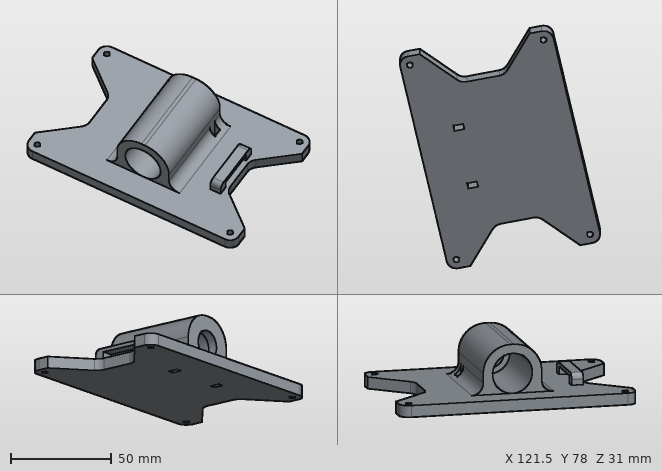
import cadquery as cq

PLATE_LENGTH = 121.5
PLATE_WIDTH = 78.0
PLATE_THICKNESS = 6.0
CORNER_RADIUS = 5.0
MOUNT_HOLE_DIAMETER = 3.0
MOUNT_HOLE_INSET = 5.0

NOTCH_DEPTH = 20.0
NOTCH_MOUTH_WIDTH = 56.0
NOTCH_FLOOR_WIDTH = 22.0
NOTCH_RADIUS = 6.0

HOUSING_WIDTH = 30.0
HOUSING_LENGTH = 50.0
HOUSING_TOP = 31.0
CROWN_RADIUS = 14.0
FLARE_RADIUS = 6.0

BORE_DIAMETER = 20.4
LIP_DIAMETER = 14.4
LIP_LENGTH = 5.0
BORE_HEIGHT = PLATE_THICKNESS + BORE_DIAMETER / 2

SLOT_WIDTH = 3.0
SLOT_LENGTH = 5.0
SLOT_END_GAP = 5.0

LOOP_WIDTH = 6.0
LOOP_LENGTH = 30.0
LOOP_HEIGHT = 6.0
LOOP_CENTER_X = 36.0
LOOP_OUTER_RADIUS = 3.0
LOOP_LEG = 5.0
LOOP_BEAM = 2.0


def make_notch(side):
    """Trapezoidal notch in the end of the plate at side * X, with rounded floor corners."""
    mouth_x = side * PLATE_LENGTH / 2
    floor_x = side * (PLATE_LENGTH / 2 - NOTCH_DEPTH)
    mouth_y = NOTCH_MOUTH_WIDTH / 2
    floor_y = NOTCH_FLOOR_WIDTH / 2
    outline = [(mouth_x, -mouth_y), (floor_x, -floor_y), (floor_x, floor_y), (mouth_x, mouth_y)]
    notch = cq.Workplane("XY").polyline(outline).close().extrude(PLATE_THICKNESS)
    floor_side = "<X" if side > 0 else ">X"
    return notch.faces(floor_side).edges("|Z").fillet(NOTCH_RADIUS)


def make_plate():
    """Flat plate with rounded corners, end notches and four mounting holes."""
    plate = cq.Workplane("XY").box(
        PLATE_LENGTH, PLATE_WIDTH, PLATE_THICKNESS, centered=(True, True, False)
    )
    plate = plate.edges("|Z").fillet(CORNER_RADIUS)
    for side in (-1, 1):
        plate = plate.cut(make_notch(side))
    hole_spacing_x = PLATE_LENGTH - 2 * MOUNT_HOLE_INSET
    hole_spacing_y = PLATE_WIDTH - 2 * MOUNT_HOLE_INSET
    holes = (
        cq.Workplane("XY")
        .rect(hole_spacing_x, hole_spacing_y, forConstruction=True)
        .vertices()
        .circle(MOUNT_HOLE_DIAMETER / 2)
        .extrude(PLATE_THICKNESS)
    )
    return plate.cut(holes)


def make_housing():
    """Round-topped block along Y whose walls flare out onto the plate."""
    wall_x = HOUSING_WIDTH / 2
    foot_x = wall_x + FLARE_RADIUS
    flare_top = PLATE_THICKNESS + FLARE_RADIUS
    crown_x = wall_x - CROWN_RADIUS
    crown_start = HOUSING_TOP - CROWN_RADIUS
    return (
        cq.Workplane("XZ", origin=(0, HOUSING_LENGTH / 2, 0))
        .moveTo(-foot_x, PLATE_THICKNESS)
        .radiusArc((-wall_x, flare_top), -FLARE_RADIUS)
        .lineTo(-wall_x, crown_start)
        .radiusArc((-crown_x, HOUSING_TOP), CROWN_RADIUS)
        .lineTo(crown_x, HOUSING_TOP)
        .radiusArc((wall_x, crown_start), CROWN_RADIUS)
        .lineTo(wall_x, flare_top)
        .radiusArc((foot_x, PLATE_THICKNESS), -FLARE_RADIUS)
        .close()
        .extrude(HOUSING_LENGTH)
    )


def make_bore():
    """Bore open at the -Y end, stepped down to a smaller opening at the +Y end."""
    back_y = HOUSING_LENGTH / 2
    opening = (
        cq.Workplane("XZ", origin=(0, back_y, BORE_HEIGHT))
        .circle(LIP_DIAMETER / 2)
        .extrude(HOUSING_LENGTH)
    )
    seat = (
        cq.Workplane("XZ", origin=(0, back_y - LIP_LENGTH, BORE_HEIGHT))
        .circle(BORE_DIAMETER / 2)
        .extrude(HOUSING_LENGTH - LIP_LENGTH)
    )
    return opening.union(seat)


def make_slots():
    """Pair of vertical slots against the housing walls, through flare and plate."""
    center_x = (HOUSING_WIDTH + SLOT_WIDTH) / 2
    center_y = HOUSING_LENGTH / 2 - SLOT_END_GAP - SLOT_LENGTH / 2
    return (
        cq.Workplane("XY")
        .pushPoints([(-center_x, center_y), (center_x, center_y)])
        .rect(SLOT_WIDTH, SLOT_LENGTH)
        .extrude(PLATE_THICKNESS + FLARE_RADIUS)
    )


def make_loop():
    """Low bridge along Y with rounded upper ends and an opening across X."""
    origin = (LOOP_CENTER_X, 0, PLATE_THICKNESS)
    resting = (True, True, False)
    bridge = cq.Workplane("XY", origin=origin).box(LOOP_WIDTH, LOOP_LENGTH, LOOP_HEIGHT, centered=resting)
    bridge = bridge.faces(">Z").edges("|X").fillet(LOOP_OUTER_RADIUS)
    opening = cq.Workplane("XY", origin=origin).box(
        LOOP_WIDTH, LOOP_LENGTH - 2 * LOOP_LEG, LOOP_HEIGHT - LOOP_BEAM, centered=resting
    )
    return bridge.cut(opening)


body = make_plate().union(make_housing())
result = body.cut(make_bore()).cut(make_slots()).union(make_loop())